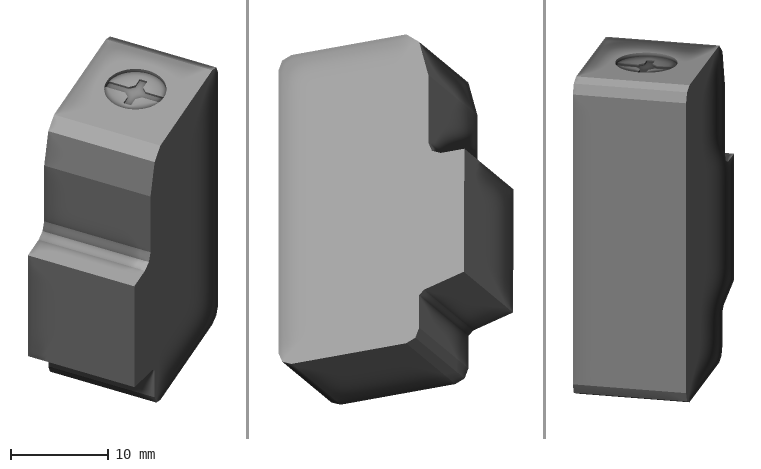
import cadquery as cq
import math

width = 12.0
depth = 21.15
height = 34.5

base_depth = 16.0
upper_depth = 17.05
nose_bottom_depth = 21.08
nose_top = 20.55
nose_bottom = 6.83

corner_size = 1.5
nose_corner_size = 1.4

shoulder_start = 14.55
shoulder_break_height = 33.4
shoulder_end_height = 29.53

undercut_depth = 16.55
undercut_height = 5.62
undercut_bevel_height = 5.1

screw_from_back = 7.45
screw_diameter = 6.4
screw_recess = 0.4
drive_depth = 0.25
long_slot_width = 0.93
short_slot_width = 0.85
short_slot_length = 4.15
drive_center_reach = 1.4


def corner_middle(vertex_forward, vertex_up, size, side_forward, side_up):
    """Middle point of a two-facet corner; the side signs point from the vertex to the arc center."""
    inset = size * (1 - math.sqrt(0.5))
    return (vertex_forward + side_forward * inset, vertex_up + side_up * inset)


def housing():
    """Side profile of (distance forward, height) points, extruded across the width."""
    profile = [
        (corner_size, 0),
        corner_middle(0, 0, corner_size, 1, 1),
        (0, corner_size),
        (0, height - corner_size),
        corner_middle(0, height, corner_size, 1, -1),
        (corner_size, height),
        (shoulder_start, height),
        (base_depth, shoulder_break_height),
        (upper_depth, shoulder_end_height),
        (upper_depth, nose_top + nose_corner_size),
        corner_middle(upper_depth, nose_top, nose_corner_size, 1, 1),
        (upper_depth + nose_corner_size, nose_top),
        (depth, nose_top),
        (nose_bottom_depth, nose_bottom),
        (undercut_depth, undercut_height),
        (base_depth, undercut_bevel_height),
        (base_depth, corner_size),
        corner_middle(base_depth, 0, corner_size, -1, 1),
        (base_depth - corner_size, 0),
    ]
    points = [(-forward, up) for forward, up in profile]
    return cq.Workplane("YZ").polyline(points).close().extrude(width / 2, both=True)


def screw_cutter():
    """Round recess with a cross drive below it; one slot runs the full diameter of the head."""
    recess_floor = height - screw_recess
    floor = cq.Workplane("XY", origin=(0, -screw_from_back, recess_floor))
    recess = floor.circle(screw_diameter / 2).extrude(screw_recess)
    long_slot = floor.rect(screw_diameter, long_slot_width).extrude(-drive_depth)
    head_cylinder = floor.circle(screw_diameter / 2).extrude(-drive_depth)
    long_slot = long_slot.intersect(head_cylinder)
    short_slot = floor.rect(short_slot_width, short_slot_length).extrude(-drive_depth)

    diamond = floor.polygon(4, 2 * drive_center_reach).extrude(-drive_depth)
    return recess.union(long_slot).union(short_slot).union(diamond)


result = housing().cut(screw_cutter())